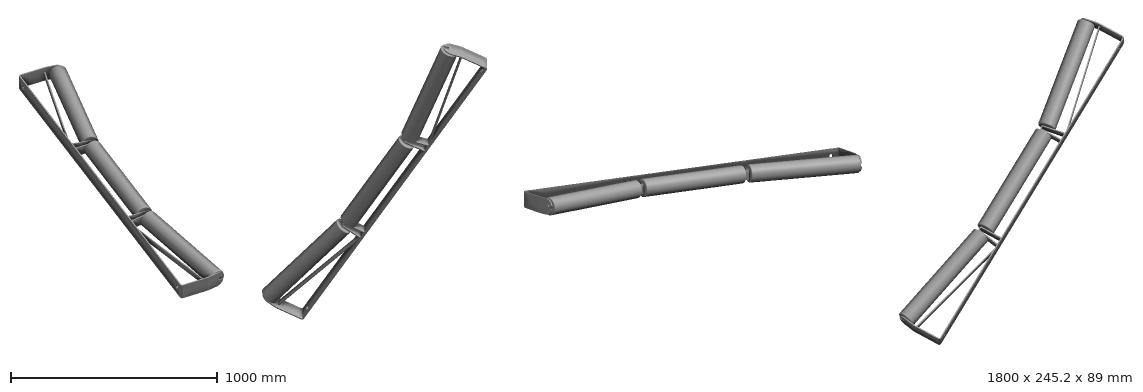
import cadquery as cq
import math

OVERALL_LENGTH = 1800.0
PLATE_WIDTH = 80.0
PLATE_THICKNESS = 6.0

TROUGH_ANGLE = 10.0
ROLLER_DIAMETER = 89.0
ROLLER_LENGTH = 570.0
ROLLER_END_FILLET = 5.0
CENTRE_ROLLER_Y = 99.5
SIDE_ROLLER_END_X = 880.5
SIDE_ROLLER_TOP_Y = 245.17

SHAFT_DIAMETER = 17.0
ROLLER_GAP = 3.5

BASE_BEND_RADIUS = 11.0
WALL_TIP_DROP = 7.0
MOUNT_HOLE_SPACING = 1700.0
MOUNT_HOLE_WIDTH = 18.0
MOUNT_HOLE_LENGTH = 27.0

BRACKET_WIDTH = 50.0
BRACKET_TOP_Y = 125.0
BRACKET_BEND_RADIUS = 9.5

STRUT_WALL_Y = 140.0
STRUT_ANGLE = 13.6
STRUT_WIDTH = 30.0

HALF_LENGTH = OVERALL_LENGTH / 2
WALL_INNER_X = HALF_LENGTH - PLATE_THICKNESS
HALF_WIDTH = PLATE_WIDTH / 2
ROLLER_RADIUS = ROLLER_DIAMETER / 2
HALF_ROLLER = ROLLER_LENGTH / 2
SHAFT_REACH = ROLLER_GAP + PLATE_THICKNESS

tilt = math.radians(TROUGH_ANGLE)
along_x, along_y = math.cos(tilt), math.sin(tilt)
across_x, across_y = -math.sin(tilt), math.cos(tilt)

axis_end_to_top = (
    (ROLLER_RADIUS - ROLLER_END_FILLET) * across_y
    - ROLLER_END_FILLET * along_y
    + ROLLER_END_FILLET
)
SIDE_ROLLER_END_Y = SIDE_ROLLER_TOP_Y - axis_end_to_top


def side_point(outward, upward):
    """Point in the tilted frame of the +X roller, measured from its outer end."""
    return (
        SIDE_ROLLER_END_X + outward * along_x + upward * across_x,
        SIDE_ROLLER_END_Y + outward * along_y + upward * across_y,
    )


def square_plane_at_x(outward, x):
    """Point with the given X on the plane square to the side roller axis."""
    upward = (x - side_point(outward, 0)[0]) / across_x
    return side_point(outward, upward)


def square_plane_at_y(outward, y):
    """Point with the given Y on the plane square to the side roller axis."""
    upward = (y - side_point(outward, 0)[1]) / across_y
    return side_point(outward, upward)


def plate(outline, width=PLATE_WIDTH):
    """Extrude an XY outline symmetrically about Z = 0."""
    return cq.Workplane("XY", origin=(0, 0, -width / 2)).polyline(outline).close().extrude(width)


def rod(radius, x_start, x_end):
    """Cylinder along X."""
    return cq.Workplane("YZ", origin=(x_start, 0, 0)).circle(radius).extrude(x_end - x_start)


def to_side_frame(body):
    """Move a body made along X into the tilted frame of the +X roller."""
    end = (SIDE_ROLLER_END_X, SIDE_ROLLER_END_Y, 0)
    return body.rotate((0, 0, 0), (0, 0, 1), TROUGH_ANGLE).translate(end)


def mirrored(body):
    return body.mirror("YZ")


def roller():
    """Roller along X with its outer end at the origin."""
    barrel = rod(ROLLER_RADIUS, -ROLLER_LENGTH, 0).faces("<X or >X").edges().fillet(ROLLER_END_FILLET)
    shaft = rod(SHAFT_DIAMETER / 2, -ROLLER_LENGTH - SHAFT_REACH, SHAFT_REACH)
    return barrel.union(shaft)


def strut():
    """Sloping strip from the top of the base through a slot in the end wall."""
    slope = math.tan(math.radians(STRUT_ANGLE))
    half_height = PLATE_THICKNESS / 2 / math.cos(math.radians(STRUT_ANGLE))
    low_y = STRUT_WALL_Y - half_height
    high_y = STRUT_WALL_Y + half_height
    outline = [
        (HALF_LENGTH, low_y),
        (HALF_LENGTH, high_y),
        (HALF_LENGTH - (high_y - PLATE_THICKNESS) / slope, PLATE_THICKNESS),
        (HALF_LENGTH - (low_y - PLATE_THICKNESS) / slope, PLATE_THICKNESS),
    ]
    return plate(outline, STRUT_WIDTH)


def folded_strip():
    """Bar and both end walls, each wall leaning square to its roller above a bend."""
    outer_half = [
        (HALF_LENGTH, 0),
        square_plane_at_x(SHAFT_REACH, HALF_LENGTH),
        side_point(SHAFT_REACH, HALF_WIDTH - WALL_TIP_DROP),
    ]
    inner_half = [
        side_point(ROLLER_GAP, HALF_WIDTH - WALL_TIP_DROP),
        square_plane_at_x(ROLLER_GAP, WALL_INNER_X),
        (WALL_INNER_X, PLATE_THICKNESS),
    ]
    right_half = outer_half + inner_half
    left_half = [(-x, y) for x, y in reversed(right_half)]
    strip = plate(right_half + left_half)

    for side in (-1, 1):
        outer_corner = cq.selectors.NearestToPointSelector((side * HALF_LENGTH, 0, 0))
        strip = strip.edges(outer_corner).fillet(BASE_BEND_RADIUS)
        inner_corner = cq.selectors.NearestToPointSelector((side * WALL_INNER_X, PLATE_THICKNESS, 0))
        strip = strip.edges(inner_corner).fillet(BASE_BEND_RADIUS - PLATE_THICKNESS)
    return strip


def wall_tip_trim():
    """Material outside the round tip of the +X end wall."""
    corners = (
        cq.Workplane("YZ")
        .moveTo(0, -HALF_WIDTH)
        .threePointArc((HALF_WIDTH, 0), (0, HALF_WIDTH))
        .lineTo(PLATE_WIDTH, HALF_WIDTH)
        .lineTo(PLATE_WIDTH, -HALF_WIDTH)
        .close()
        .extrude(SHAFT_REACH)
        .translate((0, -WALL_TIP_DROP, 0))
    )
    return to_side_frame(corners)


def wall_shaft_slot():
    """Open-topped slot with a round bottom that seats the shaft."""
    seat = rod(SHAFT_DIAMETER / 2, 0, SHAFT_REACH)
    opening = (
        cq.Workplane("YZ")
        .center(HALF_WIDTH, 0)
        .rect(PLATE_WIDTH, SHAFT_DIAMETER)
        .extrude(SHAFT_REACH)
    )
    return to_side_frame(seat.union(opening))


def mount_holes():
    """Upright slots through the bar, one near each end."""
    return (
        cq.Workplane("XZ")
        .pushPoints([(-MOUNT_HOLE_SPACING / 2, 0), (MOUNT_HOLE_SPACING / 2, 0)])
        .slot2D(MOUNT_HOLE_LENGTH, MOUNT_HOLE_WIDTH, 90)
        .extrude(-PLATE_THICKNESS)
    )


def base(right_strut):
    wall_cuts = [wall_tip_trim(), wall_shaft_slot(), right_strut]
    body = folded_strip().cut(mount_holes())
    for wall_cut in wall_cuts:
        body = body.cut(wall_cut).cut(mirrored(wall_cut))
    return body


def bracket_outline(inset):
    """Solid under the fold, with its legs and top set in from the outer faces."""
    centre_x = HALF_ROLLER + ROLLER_GAP + inset
    side_outward = -ROLLER_LENGTH - ROLLER_GAP - inset
    top_y = BRACKET_TOP_Y - inset
    outline = [
        (centre_x, PLATE_THICKNESS),
        (centre_x, top_y),
        square_plane_at_y(side_outward, top_y),
        square_plane_at_y(side_outward, PLATE_THICKNESS),
    ]
    return plate(outline, BRACKET_WIDTH).faces(">Y").edges("|Z").fillet(BRACKET_BEND_RADIUS - inset)


def bracket(right_roller, centre_roller):
    """Inverted U: an upright leg by the centre roller, a tilted leg by the side roller."""
    folded = bracket_outline(0).cut(bracket_outline(PLATE_THICKNESS))
    return folded.cut(centre_roller).cut(right_roller)


centre_roller = roller().translate((HALF_ROLLER, CENTRE_ROLLER_Y, 0))
right_roller = to_side_frame(roller())
rollers = [centre_roller, right_roller, mirrored(right_roller)]

right_strut = strut()
struts = [right_strut, mirrored(right_strut)]
frame = base(right_strut)

right_bracket = bracket(right_roller, centre_roller)
brackets = [right_bracket, mirrored(right_bracket)]

result = cq.Compound.makeCompound([body.val() for body in [frame, *struts, *brackets, *rollers]])